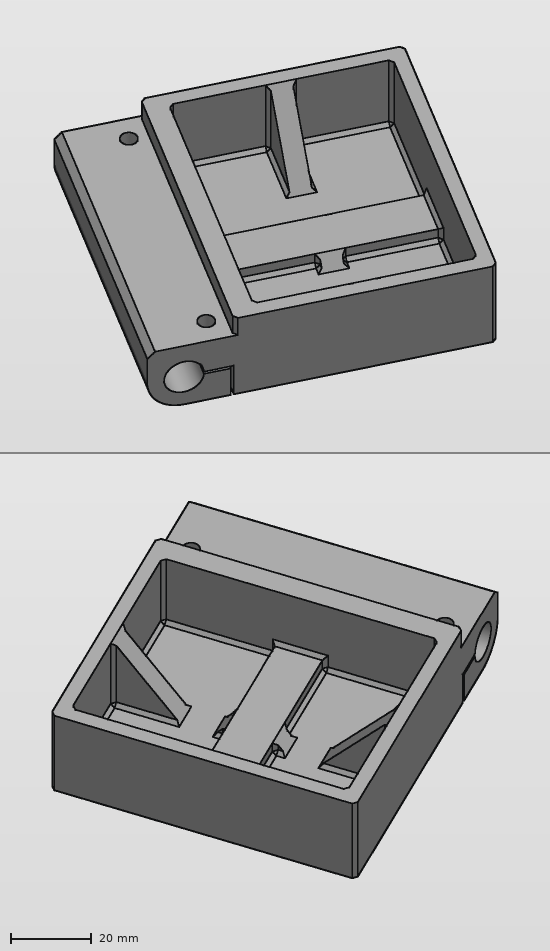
import cadquery as cq
import math

width = 82.0
length = 90.0
height = 25.8
bevel = 1.1

clamp_length = 22.2
clamp_height = 20.0
clamp_chamfer = 2.0
bore_diameter = 10.3
bore_center = 9.45
slit_width = 0.7
screw_spacing = 68.0
screw_y = 17.2
clearance_diameter = 4.5
tapped_diameter = 3.4

side_wall = 4.0
front_wall = 6.1
floor_thickness = 4.0
pocket_width = width - 2 * side_wall
pocket_front = clamp_length + front_wall
pocket_back = length - side_wall
pocket_center_y = (pocket_front + pocket_back) / 2
pocket_depth = height - floor_thickness

rib_width = 12.7
rib_height = 4.0
gusset_width = 5.8
gusset_angle = 50.0


def box_between(x_min, x_max, y_min, y_max, z_min, z_max):
    size = (x_max - x_min, y_max - y_min, z_max - z_min)
    return cq.Workplane("XY").box(*size, centered=False).translate((x_min, y_min, z_min))


def make_body():
    """Tray with bevelled corners, joined to the rounded clamp block."""
    tray = box_between(-width / 2, width / 2, clamp_length, length, 0, height)
    tray = tray.edges("|Z").chamfer(bevel)
    clamp = box_between(-width / 2, width / 2, 0, clamp_length + 2 * bevel, 0, clamp_height)
    clamp = clamp.edges("|X and <Y and >Z").chamfer(clamp_chamfer)
    clamp = clamp.edges("|X and <Y and <Z").fillet(bore_center)
    return tray.union(clamp)


def make_corner_pocket():
    """Quarter of the pocket between walls, rib and gusset, bevelled along its foot and corners."""
    pocket = box_between(
        rib_width / 2, pocket_width / 2,
        pocket_center_y + gusset_width / 2, pocket_back,
        floor_thickness, height,
    )
    return pocket.edges("|Z or <Z").chamfer(bevel)


def make_space_above_rib():
    """Opening over the centre rib, bevelled where the rib meets the front and back walls."""
    half_width = rib_width / 2 + bevel
    space = box_between(
        -half_width, half_width, pocket_front, pocket_back, floor_thickness + rib_height, height
    )
    return space.edges("|X and <Z").chamfer(bevel)


def make_space_between_gussets():
    """Opening between the wall gusset and the short gusset leaning on the centre rib."""
    slope = math.tan(math.radians(gusset_angle))
    rib_side = rib_width / 2
    wall = pocket_width / 2
    profile = [
        (rib_side + rib_height / slope, floor_thickness),
        (wall - pocket_depth / slope, floor_thickness),
        (wall, height),
        (rib_side, height),
        (rib_side, floor_thickness + rib_height),
    ]
    depth = gusset_width / 2 + bevel
    return (
        cq.Workplane("XZ", origin=(0, pocket_center_y, 0))
        .polyline(profile)
        .close()
        .extrude(depth, both=True)
    )


def cut_pocket(body):
    corner_right_back = make_corner_pocket()
    corner_right_front = corner_right_back.mirror("XZ", (0, pocket_center_y, 0))
    right_spaces = [corner_right_back, corner_right_front, make_space_between_gussets()]
    body = body.cut(make_space_above_rib())
    for space in right_spaces:
        body = body.cut(space).cut(space.mirror("YZ"))
    return body


def cut_clamp(body):
    """Cross bore, the L-shaped slit that opens it, and the clamp screw holes."""
    bore = (
        cq.Workplane("YZ", origin=(-width / 2, 0, 0))
        .center(bore_center, bore_center)
        .circle(bore_diameter / 2)
        .extrude(width)
    )
    slit_top = bore_center + slit_width / 2
    slit_bottom = bore_center - slit_width / 2
    level_slit = box_between(
        -width / 2, width / 2, bore_center, clamp_length, slit_bottom, slit_top
    )
    upright_slit = box_between(
        -width / 2, width / 2, clamp_length - slit_width, clamp_length, 0, slit_top
    )
    body = body.cut(bore).cut(level_slit).cut(upright_slit)

    for x in (-screw_spacing / 2, screw_spacing / 2):
        tapped = cq.Workplane("XY", origin=(x, screw_y, 0)).circle(tapped_diameter / 2)
        clearance = cq.Workplane("XY", origin=(x, screw_y, bore_center)).circle(clearance_diameter / 2)
        body = body.cut(tapped.extrude(bore_center))
        body = body.cut(clearance.extrude(clamp_height - bore_center))
    return body


result = cut_clamp(cut_pocket(make_body()))